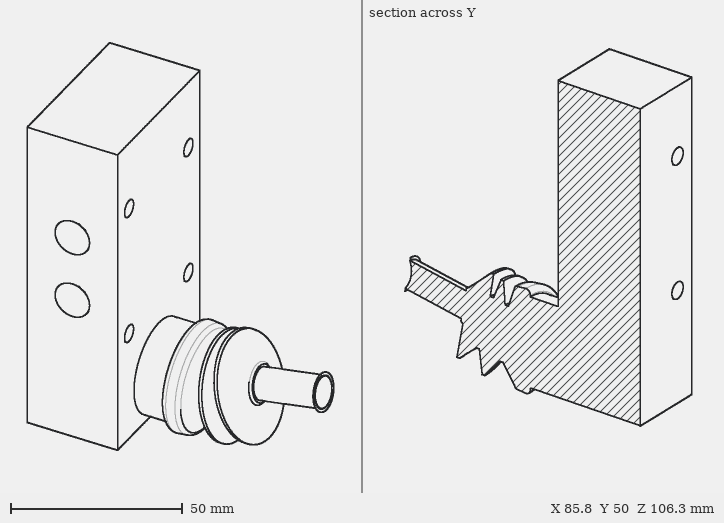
import cadquery as cq
import math

block_depth = 30.0
block_width = 50.0
block_height = 104.0

mount_diameter = 5.5
mount_spacing_y = 36.0
mount_spacing_z = 44.0
pattern_height = 59.0

port_diameter = 11.45
port_spacing = 22.0
port_depth = 12.0

socket_diameter = 30.0
socket_length = 10.0
socket_height = socket_diameter / 2

bead_diameter = 34.6
bead_end_diameter = 34.0
bead_front_diameter = 31.8
bead_rounding = 1.7
bead_straight = 2.9
bead_front_rounding = 1.35

ridge_diameter = 34.0
neck_diameter = 19.3
band_width = 1.05
fold_bands = [
    (neck_diameter, 49.65, 14.9, 6.0),
    (ridge_diameter, 53.7, 15.6, 11.7),
    (neck_diameter, 56.65, 16.3, 15.6),
    (ridge_diameter, 60.1, 17.55, 21.7),
]

collar_diameter = 13.0
collar_end_diameter = 11.5
collar_length = 0.8
collar_x = 63.6
collar_z = 19.74

lever_tilt = 10.0
lever_diameter = 10.0
lever_length = 21.46
flange_diameter = 11.9
flange_thickness = 0.1
dish_diameter = 9.6
dish_depth = 1.2


def tilted_plane(x, z, tilt):
    """Plane facing +X, turned upward by the tilt angle about the Y direction."""
    angle = math.radians(tilt)
    normal = (math.cos(angle), 0, math.sin(angle))
    return cq.Plane(origin=(x, 0, z), xDir=(0, 1, 0), normal=normal)


def circle_wire(plane, diameter):
    return cq.Workplane(plane).circle(diameter / 2).wires().val()


def make_block():
    block = cq.Workplane("XY").box(
        block_depth, block_width, block_height, centered=(False, True, False)
    )
    mounts = (
        cq.Workplane("YZ", origin=(0, 0, pattern_height))
        .rarray(mount_spacing_y, mount_spacing_z, 2, 2)
        .circle(mount_diameter / 2)
        .extrude(block_depth)
    )
    ports = (
        cq.Workplane("XZ", origin=(block_depth / 2, -block_width / 2, pattern_height))
        .rarray(1, port_spacing, 1, 2)
        .circle(port_diameter / 2)
        .extrude(-port_depth)
    )
    return block.cut(mounts).cut(ports)


def make_socket_and_bead():
    """Socket and rounded bead, turned about the horizontal socket axis."""
    bead_start = block_depth + socket_length
    bead_crest = bead_start + bead_rounding
    bead_end = bead_crest + bead_straight
    bead_front = bead_end + bead_front_rounding
    diagonal = math.sqrt(0.5)
    crest_radius = bead_diameter / 2
    end_radius = bead_end_diameter / 2
    front_radius = bead_front_diameter / 2
    round_middle = (
        bead_crest - bead_rounding * diagonal,
        crest_radius - bead_rounding * (1 - diagonal),
    )
    front_middle = (
        bead_end + bead_front_rounding * diagonal,
        front_radius + (end_radius - front_radius) * diagonal,
    )
    body = (
        cq.Workplane("XY", origin=(0, 0, socket_height))
        .moveTo(block_depth, 0)
        .lineTo(block_depth, socket_diameter / 2)
        .lineTo(bead_start, socket_diameter / 2)
        .lineTo(bead_start, crest_radius - bead_rounding)
        .threePointArc(round_middle, (bead_crest, crest_radius))
        .lineTo(bead_end, end_radius)
        .threePointArc(front_middle, (bead_front, front_radius))
        .lineTo(bead_front, 0)
        .close()
        .revolve(360, (0, 0, 0), (1, 0, 0))
    )
    return body, bead_front


def make_folds(start_x):
    """Bellows from the bead to the collar, as straight-sided cones between tilted circles."""
    wires = [circle_wire(tilted_plane(start_x, socket_height, 0), bead_front_diameter)]
    for diameter, x, z, tilt in fold_bands:
        for side in (-1, 1):
            plane = tilted_plane(x + side * band_width / 2, z, tilt)
            wires.append(circle_wire(plane, diameter))
    collar = tilted_plane(collar_x, collar_z, lever_tilt)
    wires.append(circle_wire(collar, collar_diameter))
    collar_end = collar.toWorldCoords((0, 0, collar_length))
    collar_end_plane = tilted_plane(collar_end.x, collar_end.z, lever_tilt)
    wires.append(circle_wire(collar_end_plane, collar_end_diameter))
    return cq.Workplane(cq.Solid.makeLoft(wires, True))


def make_lever():
    collar = tilted_plane(collar_x, collar_z, lever_tilt)
    rod = cq.Workplane(collar).circle(lever_diameter / 2).extrude(lever_length)
    flange = (
        cq.Workplane(collar)
        .workplane(offset=lever_length - flange_thickness)
        .circle(flange_diameter / 2)
        .extrude(flange_thickness)
    )
    dish_radius = ((dish_diameter / 2) ** 2 + dish_depth**2) / (2 * dish_depth)
    dish_centre = collar.toWorldCoords((0, 0, lever_length - dish_depth + dish_radius))
    dish = cq.Workplane("XY", origin=dish_centre.toTuple()).sphere(dish_radius)
    return rod.union(flange).cut(dish)


base, folds_start = make_socket_and_bead()
result = make_block().union(base).union(make_folds(folds_start)).union(make_lever())